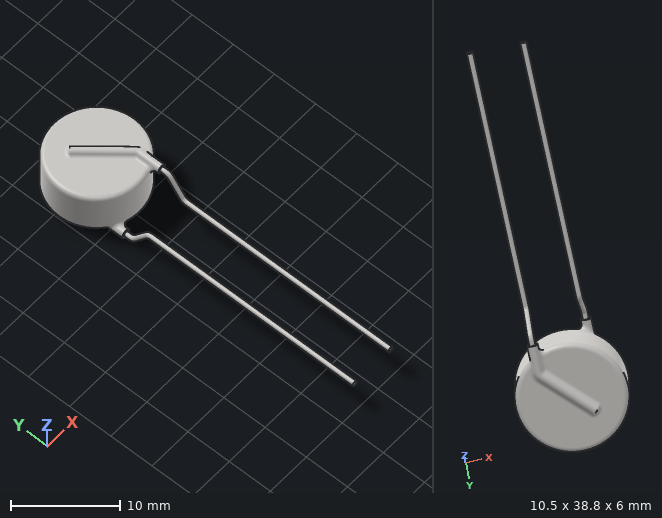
import cadquery as cq
import math

overall_length = 38.75
overall_height = 6.0

disc_diameter = 10.5
disc_thickness = 5.0
rim_radius = 0.5

sleeve_end_y = -5.75
elbow_y = -2.85
ridge_length = 6.28
ridge_bend_radius = 0.9
ridge_blend_radius = 0.45
ridge_tip_radius = 0.08
top_ridge_angle = 40.5
bottom_ridge_angle = 45.0

lead_pitch = 5.0
lead_radius = 0.3
lead_bend_radius = 0.78
outer_bend_y = -6.6
inner_bend_y = -8.45

disc_radius = disc_diameter / 2
sleeve_z = disc_thickness / 2
sleeve_radius = overall_height / 2 - sleeve_z
lead_x = lead_pitch / 2
lead_tip_y = disc_radius - overall_length

contact_tolerance = 0.0005

LEADS = [(1, 1, top_ridge_angle), (-1, -1, bottom_ridge_angle)]


def rounded_path(points, bend_radius):
    """Polyline through the points, with every corner rounded to a tangent arc."""
    vectors = [cq.Vector(*point) for point in points]
    edges = []
    start = vectors[0]
    for before, corner, after in zip(vectors, vectors[1:], vectors[2:]):
        incoming = (corner - before).normalized()
        outgoing = (after - corner).normalized()
        half_turn = incoming.getAngle(outgoing) / 2
        setback = bend_radius * math.tan(half_turn)
        arc_start = corner - incoming * setback
        arc_end = corner + outgoing * setback
        edges.append(cq.Edge.makeLine(start, arc_start))
        edges.append(cq.Edge.makeTangentArc(arc_start, incoming, arc_end))
        start = arc_end
    edges.append(cq.Edge.makeLine(start, vectors[-1]))
    return cq.Wire.assembleEdges(edges)


def round_bar(points, radius, bend_radius):
    """Round bar that follows the points, starting out along +Y."""
    start_plane = cq.Plane(origin=points[0], xDir=(1, 0, 0), normal=(0, 1, 0))
    path = cq.Workplane(rounded_path(points, bend_radius))
    return cq.Workplane(start_plane).circle(radius).sweep(path)


def make_ridge(side_x, side_z, angle):
    """Sleeve and slanted ridge, with the edge of the ridge tip slightly rounded."""
    x = side_x * lead_x
    z = side_z * sleeve_z
    turn = math.radians(angle)
    tip_x = x - side_x * ridge_length * math.sin(turn)
    tip_y = elbow_y + ridge_length * math.cos(turn)
    points = [(x, sleeve_end_y, z), (x, elbow_y, z), (tip_x, tip_y, z)]
    ridge = round_bar(points, sleeve_radius, ridge_bend_radius)
    return ridge.faces(">Y").edges().fillet(ridge_tip_radius)


def lies_on(edge, shells):
    """True if the middle of the edge touches every one of the shells."""
    middle = cq.Vertex.makeVertex(*edge.positionAt(0.5).toTuple())
    return all(middle.distance(shell) < contact_tolerance for shell in shells)


def blend_onto(base, addition, radius):
    """Join the addition to the base and fillet the seam where their surfaces meet."""
    shells = [base.val().Shells()[0], addition.val().Shells()[0]]
    joined = base.union(addition)
    seam = [edge for edge in joined.edges().vals() if lies_on(edge, shells)]
    return joined.newObject(seam).fillet(radius)


def make_coated_disc():
    """Disc with rounded rims and one blended ridge on each flat face."""
    disc = (
        cq.Workplane("XY", origin=(0, 0, -disc_thickness / 2))
        .circle(disc_radius)
        .extrude(disc_thickness)
        .faces("<Z or >Z")
        .edges()
        .fillet(rim_radius)
    )
    for side_x, side_z, angle in LEADS:
        disc = blend_onto(disc, make_ridge(side_x, side_z, angle), ridge_blend_radius)
    return disc


def make_lead(side_x, side_z):
    """Wire from its tip at mid height, bent out to the end face of its sleeve."""
    x = side_x * lead_x
    z = side_z * sleeve_z
    points = [
        (x, lead_tip_y, 0),
        (x, inner_bend_y, 0),
        (x, outer_bend_y, z),
        (x, sleeve_end_y, z),
    ]
    return round_bar(points, lead_radius, lead_bend_radius)


coated_disc = make_coated_disc()
leads = [make_lead(side_x, side_z) for side_x, side_z, _ in LEADS]

result = cq.Compound.makeCompound([coated_disc.val(), *[lead.val() for lead in leads]])